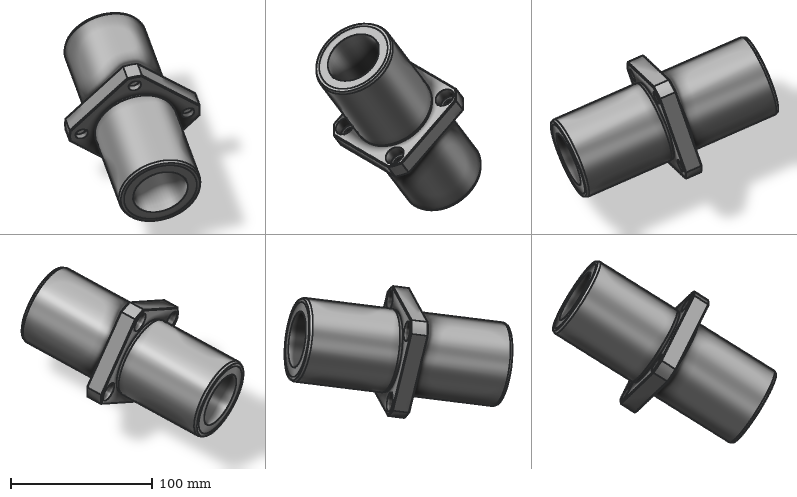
import cadquery as cq
import math

LENGTH = 151.0
HOUSING_DIA = 60.0
END_CHAMFER_LENGTH = 2.0
END_CHAMFER_DEPTH = 0.9
RELIEF_LENGTH = 2.3
RELIEF_DEPTH = 0.6

FLANGE_THICKNESS = 13.0
FLANGE_SIDE = 74.9
FLANGE_TIP_DIA = 95.9
FLANGE_CHAMFER = 0.66
FLANGE_TILT = 45

HOLE_COUNT = 4
HOLE_CIRCLE_DIA = 77.9
HOLE_DIA = 9.0
COUNTERBORE_DIA = 14.0
COUNTERBORE_DEPTH = 8.6

LINER_DIA = 53.5
BORE_DIA = 40.0


def x_cylinder(diameter, length):
    """Cylinder along the X axis, centred on the origin."""
    return cq.Workplane("YZ").circle(diameter / 2).extrude(length / 2, both=True)


def make_barrel():
    """Revolved barrel with tapered ends and a shallow concave relief on each side of the flange."""
    half_length = LENGTH / 2
    half_flange = FLANGE_THICKNESS / 2
    radius = HOUSING_DIA / 2
    end_radius = radius - END_CHAMFER_DEPTH
    relief_floor = radius - RELIEF_DEPTH
    relief_edge = half_flange + RELIEF_LENGTH
    relief_arc_radius = (RELIEF_LENGTH**2 + RELIEF_DEPTH**2) / (2 * RELIEF_DEPTH)
    relief_mid = half_flange + RELIEF_LENGTH / 2
    relief_mid_radius = relief_floor + relief_arc_radius - math.sqrt(
        relief_arc_radius**2 - (RELIEF_LENGTH / 2) ** 2
    )
    taper_start = half_length - END_CHAMFER_LENGTH
    return (
        cq.Workplane("XY")
        .moveTo(-half_length, 0)
        .lineTo(-half_length, end_radius)
        .lineTo(-taper_start, radius)
        .lineTo(-relief_edge, radius)
        .threePointArc((-relief_mid, relief_mid_radius), (-half_flange, relief_floor))
        .lineTo(half_flange, relief_floor)
        .threePointArc((relief_mid, relief_mid_radius), (relief_edge, radius))
        .lineTo(taper_start, radius)
        .lineTo(half_length, end_radius)
        .lineTo(half_length, 0)
        .close()
        .revolve(360, (0, 0, 0), (1, 0, 0))
    )


def make_flange():
    """Chamfered square plate on its corner, with its four corners turned round."""
    square = (
        cq.Workplane("YZ")
        .rect(FLANGE_SIDE, FLANGE_SIDE)
        .extrude(FLANGE_THICKNESS / 2, both=True)
        .rotate((0, 0, 0), (1, 0, 0), FLANGE_TILT)
    )
    turned_disc = x_cylinder(FLANGE_TIP_DIA, FLANGE_THICKNESS)
    return square.intersect(turned_disc).faces("<X or >X").chamfer(FLANGE_CHAMFER)


def hole_pattern(diameter, depth):
    """Cylinders at the mounting hole places, reaching into the flange from its -X face."""
    return (
        cq.Workplane("YZ", origin=(-FLANGE_THICKNESS / 2, 0, 0))
        .polarArray(HOLE_CIRCLE_DIA / 2, 0, 360, HOLE_COUNT)
        .circle(diameter / 2)
        .extrude(depth)
    )


def make_housing():
    """Barrel and counterbored flange in one piece, bored through for the liner."""
    return (
        make_barrel()
        .union(make_flange())
        .cut(hole_pattern(HOLE_DIA, FLANGE_THICKNESS))
        .cut(hole_pattern(COUNTERBORE_DIA, COUNTERBORE_DEPTH))
        .cut(x_cylinder(LINER_DIA, LENGTH))
    )


def make_liner():
    """Plain tube that fills the housing bore from end to end."""
    return x_cylinder(LINER_DIA, LENGTH).cut(x_cylinder(BORE_DIA, LENGTH))


housing = make_housing()
liner = make_liner()

result = cq.Compound.makeCompound([housing.solids().val(), liner.solids().val()])